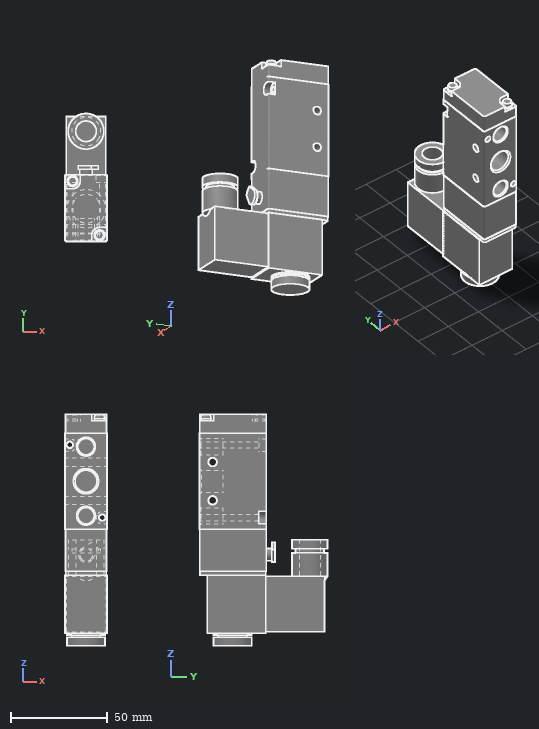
import cadquery as cq
import math


nut_height = 4.6
nut_neck_height = 1.1
nut_flange_height = 0.8
coil_height = 30.2
plate_height = 2.2
lower_cap_height = 21.8
body_height = 50.1
upper_cap_height = 9.9

nut_neck_bottom = nut_height
nut_flange_bottom = nut_neck_bottom + nut_neck_height
coil_bottom = nut_flange_bottom + nut_flange_height
plate_bottom = coil_bottom + coil_height
lower_cap_bottom = plate_bottom + plate_height
body_bottom = lower_cap_bottom + lower_cap_height
upper_cap_bottom = body_bottom + body_height
top = upper_cap_bottom + upper_cap_height
body_middle = body_bottom + body_height / 2

body_width = 22.0
cap_width = 21.6
plate_width = 21.2
body_depth = 34.9
plate_back = 34.6
coil_front = 4.0
coil_back = plate_back
cap_front = 0.07
plate_front = 0.2
edge_radius = 1.0

groove_diameter = 15.0
nut_diameter = 20.0
nut_y = 17.3

connector_width = 20.8
connector_bottom = 7.2
connector_height = 29.1
connector_top = connector_bottom + connector_height
connector_back = 65.2
fitting_diameter = 18.6
overall_depth = 66.7
fitting_y = overall_depth - fitting_diameter / 2
fitting_body_height = 12.1
fitting_groove_height = 2.2
fitting_ring_height = 4.7
fitting_bore_diameter = 10.7
fitting_taper_height = 2.3
fitting_taper_inset = 1.6

port_pitch = 18.0
port_depth = 12.1
large_port_diameter = 11.5
small_port_diameter = 8.6
large_port_chamfer = 0.8
small_port_chamfer = 0.6
cross_hole_diameter = 4.3
cross_hole_y = 6.9
cross_hole_pitch = 19.9
mount_hole_diameter = 3.3
mount_hole_x = 8.5
mount_hole_z_offset = 19.0
mount_slot_width = 6.5
mount_slot_depth = 4.0

screw_inset_y = 3.4
screw_x = 7.0
pocket_radius = 4.0
pocket_depth = 3.5
screw_neck_diameter = 5.0
screw_neck_height = 1.1
screw_head_diameter = 5.4
screw_head_height = 2.0
screw_head_top_diameter = 4.3

override_z = 47.5
override_pin_diameter = 6.5
override_pin_length = 2.9
lever_thickness = 1.7
lever_hub_radius = 4.0
lever_tip_radius = 7.0
lever_direction = 45
lever_tip_offset = 23


def block(width, front, back, bottom, height):
    """Box centred on X = 0, between two Y planes, rising from a given Z."""
    depth = back - front
    return (
        cq.Workplane("XY")
        .box(width, depth, height, centered=(True, False, False))
        .translate((0, front, bottom))
    )


def upright_cylinder(diameter, x, y, bottom, height):
    return cq.Workplane("XY", origin=(x, y, bottom)).circle(diameter / 2).extrude(height)


def cylinder_along_y(diameter, x, z, front, length):
    return cq.Workplane("XZ", origin=(x, front, z)).circle(diameter / 2).extrude(-length)


def valve_stack():
    """Plate, caps and valve body with rounded upright edges."""
    layers = [
        (plate_width, plate_front, plate_back, plate_bottom, plate_height),
        (cap_width, cap_front, body_depth, lower_cap_bottom, lower_cap_height),
        (body_width, 0, body_depth, body_bottom, body_height),
        (cap_width, cap_front, body_depth, upper_cap_bottom, upper_cap_height),
    ]
    stack = cq.Workplane("XY")
    for width, front, back, bottom, height in layers:
        layer = block(width, front, back, bottom, height).edges("|Z").fillet(edge_radius)
        stack = stack.union(layer)
    return stack


def port(diameter, chamfer, z):
    """Blind port cutter with a chamfered mouth on the port face."""
    bore = cylinder_along_y(diameter, 0, z, 0, port_depth)
    mouth = (
        cq.Workplane("XZ", origin=(0, 0, z))
        .circle(diameter / 2 + chamfer)
        .workplane(offset=-chamfer)
        .circle(diameter / 2)
        .loft()
    )
    return bore.union(mouth)


def mount_hole(side):
    """Through hole along Y with a slot at the back that opens to the side; side is -1 or +1."""
    x = side * mount_hole_x
    z = body_middle - side * mount_hole_z_offset
    slot_front = body_depth - mount_slot_depth
    hole = cylinder_along_y(mount_hole_diameter, x, z, 0, body_depth)
    slot_end = cylinder_along_y(mount_slot_width, x, z, slot_front, mount_slot_depth)
    slot_run = (
        cq.Workplane("XY")
        .box(mount_slot_width, mount_slot_depth, mount_slot_width, centered=(True, False, True))
        .translate((x + side * mount_slot_width / 2, slot_front, z))
    )
    return hole.union(slot_end).union(slot_run)


def screw_pocket(side, y, y_side):
    """Corner pocket in the upper cap, rounded concentrically with its screw."""
    x = side * screw_x
    reach = 2 * pocket_radius
    floor = top - pocket_depth
    return (
        cq.Workplane("XY")
        .box(2 * reach, 2 * reach, pocket_depth, centered=(True, True, False))
        .edges("|Z")
        .fillet(pocket_radius)
        .translate((x + side * pocket_radius, y + y_side * pocket_radius, floor))
    )


def cap_screw(x, y):
    """Short neck under a head whose side bulges upward and inward to a flat top."""
    floor = top - pocket_depth
    head_bottom = floor + screw_neck_height
    neck = upright_cylinder(screw_neck_diameter, x, y, floor, screw_neck_height)
    head_taper = (screw_head_diameter - screw_head_top_diameter) / 2
    head_middle = (screw_head_diameter / 2 - head_taper / 4, screw_head_height / 2)
    head = (
        cq.Workplane("XZ")
        .lineTo(screw_head_diameter / 2, 0)
        .threePointArc(head_middle, (screw_head_top_diameter / 2, screw_head_height))
        .lineTo(0, screw_head_height)
        .close()
        .revolve()
        .translate((x, y, head_bottom))
    )
    return neck.union(head)


def coil_nut():
    nut = upright_cylinder(nut_diameter, 0, nut_y, 0, nut_height)
    neck = upright_cylinder(groove_diameter, 0, nut_y, nut_neck_bottom, nut_neck_height)
    flange = upright_cylinder(nut_diameter, 0, nut_y, nut_flange_bottom, nut_flange_height)
    return nut.union(neck).union(flange)


def cable_fitting():
    """Grooved, bored fitting whose foot tapers down the back of the connector block."""
    groove_bottom = connector_top + fitting_body_height
    ring_bottom = groove_bottom + fitting_groove_height
    fitting_top = ring_bottom + fitting_ring_height
    body = upright_cylinder(fitting_diameter, 0, fitting_y, connector_top, fitting_body_height)
    groove = upright_cylinder(groove_diameter, 0, fitting_y, groove_bottom, fitting_groove_height)
    ring = upright_cylinder(fitting_diameter, 0, fitting_y, ring_bottom, fitting_ring_height)
    bore_depth = fitting_top - connector_top
    bore = upright_cylinder(fitting_bore_diameter, 0, fitting_y, connector_top, bore_depth)
    taper = (
        cq.Workplane("XY", origin=(0, fitting_y, connector_top))
        .circle(fitting_diameter / 2)
        .workplane(offset=-fitting_taper_height)
        .circle(fitting_diameter / 2 - fitting_taper_inset)
        .loft()
    )
    return body.union(groove).union(ring).cut(bore).union(taper)


def override_lever():
    """Pin carrying a round-hubbed lever that narrows towards an arc-shaped tip."""
    def polar(radius, offset):
        angle = math.radians(lever_direction + offset)
        return (radius * math.cos(angle), radius * math.sin(angle))

    flank_angle = math.degrees(math.acos(lever_hub_radius / lever_tip_radius))
    tangent_offset = lever_tip_offset + flank_angle

    pin = cylinder_along_y(override_pin_diameter, 0, override_z, body_depth, override_pin_length)
    lever_front = body_depth + override_pin_length
    lever = (
        cq.Workplane("XZ", origin=(0, lever_front, override_z))
        .moveTo(*polar(lever_hub_radius, tangent_offset))
        .lineTo(*polar(lever_tip_radius, lever_tip_offset))
        .threePointArc(polar(lever_tip_radius, 0), polar(lever_tip_radius, -lever_tip_offset))
        .lineTo(*polar(lever_hub_radius, -tangent_offset))
        .threePointArc(
            polar(lever_hub_radius, 180),
            polar(lever_hub_radius, tangent_offset),
        )
        .close()
        .extrude(-lever_thickness)
    )
    return pin.union(lever)


result = valve_stack()
result = result.union(block(body_width, coil_front, coil_back, coil_bottom, coil_height))
result = result.union(
    block(connector_width, coil_back, connector_back, connector_bottom, connector_height)
)

result = result.cut(port(large_port_diameter, large_port_chamfer, body_middle))
for direction in (-1, 1):
    port_z = body_middle + direction * port_pitch
    result = result.cut(port(small_port_diameter, small_port_chamfer, port_z))

for direction in (-1, 1):
    cross_hole_z = body_middle + direction * cross_hole_pitch / 2
    cross_hole = (
        cq.Workplane("YZ", origin=(0, cross_hole_y, cross_hole_z))
        .circle(cross_hole_diameter / 2)
        .extrude(body_width, both=True)
    )
    result = result.cut(cross_hole)

for side in (-1, 1):
    result = result.cut(mount_hole(side))

for side, y, y_side in ((-1, body_depth - screw_inset_y, 1), (1, screw_inset_y, -1)):
    result = result.cut(screw_pocket(side, y, y_side))
    result = result.union(cap_screw(side * screw_x, y))

result = result.union(coil_nut())
result = result.union(cable_fitting())
result = result.union(override_lever())